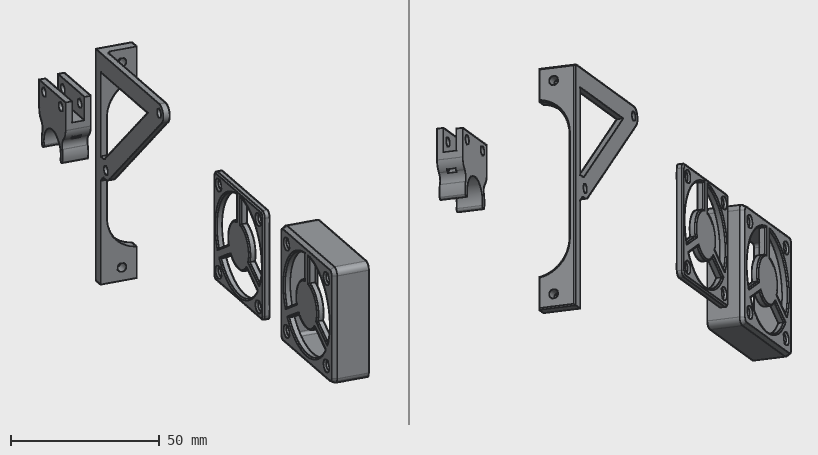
import cadquery as cq
import math

screw_dia = 3.2
edge_chamfer = 0.5
plate = 2.4
depth = 13.4

spine_height = 85.0
spine_width = 4.5
arm_radius = 3.5
tip_x = 51.5
tip_z = spine_height - arm_radius
knee_x = 8.7
knee_z = 43.6
knee_chamfer = 2.0
flange_hole_inset = 4.9
flange_arc_radius = 12.5
flange_arc_inset = 24.0
root_bevel = 1.0

fan_z = 58.1
guard_x = 115.3
housing_x = 170.05
fan_size = 40.0
fan_hole_pitch = 32.0
opening_dia = 36.4
hub_dia = 17.5
spoke_width = 3.5
spoke_angles = (90, 210, 330)
countersink_dia = 4.6

guard_corner_radius = 2.0
guard_chamfer = 0.6
standoff_dia = 5.0
standoff_height = 0.8

housing_wall = 1.2
housing_clearance = 0.05
housing_inner = fan_size + 2 * housing_clearance
housing_size = housing_inner + 2 * housing_wall
housing_corner_radius = 2.4
housing_chamfer_depth = 0.9
housing_chamfer_inset = 1.6

clip_x = -60.0
clip_depth = 9.4
clip_back_y = 21.2
clip_front_y = clip_back_y - clip_depth
clip_half_width = 10.7
clip_top_z = 44.2
clip_front_top_z = 43.4
clip_slot_floor_z = 35.6
clip_hole_pitch = 13.5
clip_hole_z = 40.3
tube_z = 22.5
tube_radius = 6.7
jaw_thickness = 1.9
jaw_tip_z = 20.9
shoulder_top_z = 33.2
shoulder_angle = 45.0
tie_radius = 10.65
tie_thickness = 1.4
tie_width = 3.2


def block(x0, x1, y0, y1, z0, z1):
    """Box given by its limits along X, Y and Z."""
    return cq.Workplane("XY").box(x1 - x0, y1 - y0, z1 - z0, centered=False).translate((x0, y0, z0))


def front_plane(x, y, z):
    """Sketch plane facing -Y, with local x along X and local y along Z."""
    return cq.Workplane("XZ", origin=(x, y, z))


def y_cylinder(x, z, diameter, y0, y1):
    """Cylinder along Y from y0 to y1."""
    return front_plane(x, y0, z).circle(diameter / 2).extrude(y0 - y1)


def arm(x0, z0, x1, z1):
    """Flat arm with round ends, joining two points."""
    length = math.hypot(x1 - x0, z1 - z0)
    angle = math.degrees(math.atan2(z1 - z0, x1 - x0))
    middle = ((x0 + x1) / 2, (z0 + z1) / 2)
    sketch = front_plane(0, 0, 0).center(*middle)
    return sketch.slot2D(length + 2 * arm_radius, 2 * arm_radius, angle).extrude(-plate)


def flange_profile():
    """Spine as seen along X: two deep end flanges joined by a shallow strip."""
    rise = math.sqrt(flange_arc_radius ** 2 - (flange_arc_radius - (depth - plate)) ** 2)
    edge = flange_arc_inset - rise
    arc_y = plate + flange_arc_radius * (1 - math.sqrt(0.5))
    arc_z = flange_arc_inset - flange_arc_radius * math.sqrt(0.5)
    return (
        cq.Workplane("YZ")
        .lineTo(depth, 0)
        .lineTo(depth, edge)
        .threePointArc((arc_y, arc_z), (plate, flange_arc_inset))
        .lineTo(plate, spine_height - flange_arc_inset)
        .threePointArc((arc_y, spine_height - arc_z), (depth, spine_height - edge))
        .lineTo(depth, spine_height)
        .lineTo(0, spine_height)
        .close()
    )


def make_bracket():
    body = flange_profile().extrude(spine_width)
    body = body.faces("<X").edges().chamfer(edge_chamfer)
    body = body.union(arm(spine_width / 2 + arm_radius, tip_z, tip_x, tip_z))
    body = body.union(block(edge_chamfer, knee_x, 0, plate, tip_z - arm_radius, spine_height))
    body = body.union(block(edge_chamfer, knee_x, 0, plate, knee_z - arm_radius, knee_z + arm_radius))
    body = body.union(arm(knee_x, knee_z, tip_x, tip_z))

    knee_bottom = knee_z - arm_radius
    gusset = (
        front_plane(spine_width, 0, knee_bottom)
        .lineTo(knee_chamfer, 0)
        .lineTo(0, -knee_chamfer)
        .close()
        .extrude(-plate)
    )
    body = body.union(gusset)

    bevel = (
        cq.Workplane("XY", origin=(spine_width, plate, tip_z - arm_radius))
        .lineTo(root_bevel, 0)
        .lineTo(0, root_bevel)
        .close()
        .extrude(2 * arm_radius)
    )
    body = body.union(bevel)

    for x, z in ((knee_x, knee_z), (tip_x, tip_z)):
        body = body.cut(y_cylinder(x, z, screw_dia, 0, plate))
    flange_y = (plate + depth) / 2
    for z in (flange_hole_inset, spine_height - flange_hole_inset):
        hole = cq.Workplane("YZ", origin=(0, flange_y, z)).circle(screw_dia / 2).extrude(spine_width)
        body = body.cut(hole)
    return body


def fan_hole_centres(x):
    half = fan_hole_pitch / 2
    return [(x + sx * half, fan_z + sz * half) for sx in (-1, 1) for sz in (-1, 1)]


def rounded_slab(x, size, radius, y0, y1):
    """Square slab around the fan axis with rounded corners."""
    slab = front_plane(x, y0, fan_z).rect(size, size).extrude(y0 - y1)
    return slab.edges("|Y").fillet(radius)


def cut_grille(body, x):
    """Open the plate to a hub held by three spokes, and bevel the front rims."""
    opening = y_cylinder(x, fan_z, opening_dia, 0, plate)
    opening = opening.cut(y_cylinder(x, fan_z, hub_dia, 0, plate))
    for angle in spoke_angles:
        spoke = block(0, opening_dia, 0, plate, -spoke_width / 2, spoke_width / 2)
        spoke = spoke.rotate((0, 0, 0), (0, 1, 0), -angle).translate((x, 0, fan_z))
        opening = opening.cut(spoke)
    body = body.cut(opening)
    rims = [edge for wire in body.faces("<Y").val().innerWires() for edge in wire.Edges()]
    return body.newObject(rims).chamfer(edge_chamfer)


def cut_fan_screws(body, x):
    """Four screw holes, countersunk on the front face."""
    sink = (countersink_dia - screw_dia) / 2
    for hole_x, hole_z in fan_hole_centres(x):
        body = body.cut(y_cylinder(hole_x, hole_z, screw_dia, 0, depth))
        cone = cq.Solid.makeCone(
            countersink_dia / 2, screw_dia / 2, sink, cq.Vector(hole_x, 0, hole_z), cq.Vector(0, 1, 0)
        )
        body = body.cut(cq.Workplane(cone))
    return body


def make_guard():
    body = rounded_slab(guard_x, fan_size, guard_corner_radius, 0, plate)
    body = body.faces("<Y").edges().chamfer(guard_chamfer)
    for x, z in fan_hole_centres(guard_x):
        body = body.union(y_cylinder(x, z, standoff_dia, plate, plate + standoff_height))
    body = cut_grille(body, guard_x)
    return cut_fan_screws(body, guard_x)


def make_housing():
    body = rounded_slab(housing_x, housing_size, housing_corner_radius, 0, depth)
    body = body.faces("<Y").chamfer(housing_chamfer_inset, housing_chamfer_depth)
    inner_radius = housing_corner_radius - housing_wall
    body = body.cut(rounded_slab(housing_x, housing_inner, inner_radius, plate, depth))
    body = cut_grille(body, housing_x)
    return cut_fan_screws(body, housing_x)


def clip_blank():
    """Clip without slot and holes: a symmetric outline extruded along Y."""
    outer_radius = tube_radius + jaw_thickness
    angle = math.radians(shoulder_angle)
    convex_radius = (shoulder_top_z - tube_z - tube_radius) / math.sin(angle)
    joint_x = clip_half_width - convex_radius * (1 - math.cos(angle))
    joint = (joint_x, tube_radius)
    normal = (math.cos(angle), -math.sin(angle))
    along = joint[0] * normal[0] + joint[1] * normal[1]
    concave_radius = (math.hypot(*joint) ** 2 - outer_radius ** 2) / (2 * (outer_radius - along))
    shrink = outer_radius / (outer_radius + concave_radius)
    neck = tuple(shrink * (j + concave_radius * n) for j, n in zip(joint, normal))

    tip_angle = math.asin((jaw_tip_z - tube_z) / (tube_radius + jaw_thickness / 2))
    tip_direction = (math.cos(tip_angle), math.sin(tip_angle))
    outer_tip = [outer_radius * c for c in tip_direction]
    inner_tip = [tube_radius * c for c in tip_direction]

    def left(point):
        return (-point[0], point[1])

    top = (clip_half_width, clip_top_z - tube_z)
    shoulder = (clip_half_width, shoulder_top_z - tube_z)
    jaw_side = (outer_radius, 0)
    return (
        front_plane(clip_x, clip_front_y, tube_z)
        .moveTo(*left(top))
        .lineTo(*top)
        .lineTo(*shoulder)
        .radiusArc(joint, convex_radius)
        .radiusArc(neck, -concave_radius)
        .threePointArc(jaw_side, outer_tip)
        .radiusArc(inner_tip, jaw_thickness / 2)
        .threePointArc((0, tube_radius), left(inner_tip))
        .radiusArc(left(outer_tip), jaw_thickness / 2)
        .threePointArc(left(jaw_side), left(neck))
        .radiusArc(left(joint), -concave_radius)
        .radiusArc(left(shoulder), convex_radius)
        .close()
        .extrude(-clip_depth)
    )


def make_clip():
    body = clip_blank()
    left = clip_x - clip_half_width
    right = clip_x + clip_half_width
    slot_front = clip_front_y + plate
    slot_back = clip_back_y - plate
    body = body.cut(block(left, right, slot_front, slot_back, clip_slot_floor_z, clip_top_z))
    body = body.cut(block(left, right, clip_front_y, slot_front, clip_front_top_z, clip_top_z))

    for side in (-1, 1):
        hole_x = clip_x + side * clip_hole_pitch / 2
        body = body.cut(y_cylinder(hole_x, clip_hole_z, screw_dia, clip_front_y, clip_back_y))

    tie_front = (clip_front_y + clip_back_y - tie_width) / 2
    tie_back = tie_front + tie_width
    tie = y_cylinder(clip_x, tube_z, 2 * (tie_radius + tie_thickness), tie_front, tie_back)
    tie = tie.cut(y_cylinder(clip_x, tube_z, 2 * tie_radius, tie_front, tie_back))
    return body.cut(tie)


bracket = make_bracket()
guard = make_guard()
housing = make_housing()
clip = make_clip()

result = cq.Compound.makeCompound([bracket.val(), guard.val(), housing.val(), clip.val()])